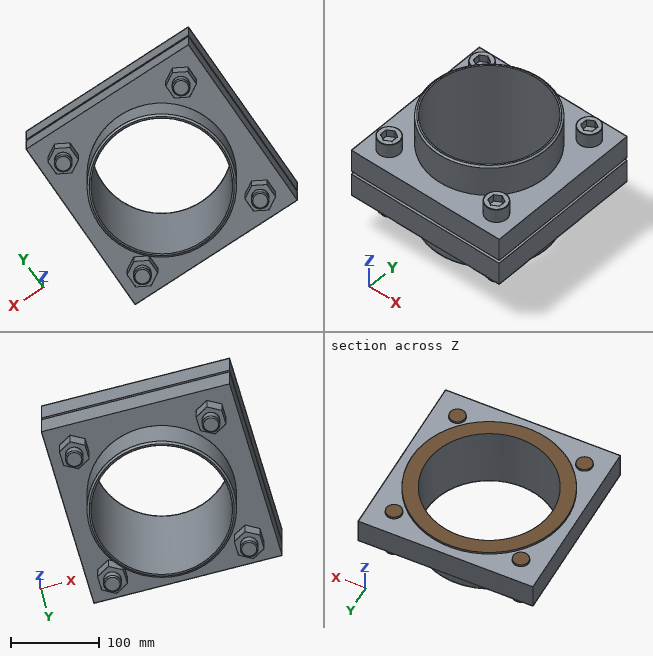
import cadquery as cq
import math

total_height = 160.0
pipe_outer_diameter = 168.3
pipe_bore_diameter = 159.3
pipe_bevel_height = 2.0
pipe_bevel_width = 2.5

flange_width = 220.0
flange_gap = 4.5
flange_thickness = 33.0
flange_outer_z = flange_gap / 2 + flange_thickness
spigot_diameter = 197.0

bolt_circle_diameter = 226.0
bolt_offset = bolt_circle_diameter / 2 / math.sqrt(2)
bolt_diameter = 20.0
bolt_length = 100.0
bolt_tip_chamfer = 1.5
head_diameter = 30.0
head_height = 20.0
head_edge_chamfer = 0.5
socket_across_flats = 17.0
socket_depth = 10.0
nut_across_flats = 30.0
nut_height = 18.0


def cylinder(diameter, bottom_z, top_z):
    """Upright cylinder on the Z axis."""
    return cq.Workplane("XY").workplane(offset=bottom_z).circle(diameter / 2).extrude(top_z - bottom_z)


def hexagon(across_flats, bottom_z, top_z):
    """Upright hexagonal prism on the Z axis with its flats facing -X and +X."""
    return (
        cq.Workplane("XY")
        .workplane(offset=bottom_z)
        .polygon(6, across_flats, circumscribed=True)
        .extrude(top_z - bottom_z)
    )


def make_pipe():
    """Pipe over the full height, bevelled on the outside of both ends."""
    pipe = cylinder(pipe_outer_diameter, -total_height / 2, total_height / 2)
    return pipe.faces("<Z or >Z").chamfer(pipe_bevel_height, pipe_bevel_width)


def make_flange(bottom_z):
    """Square flange plate standing on bottom_z."""
    return (
        cq.Workplane("XY")
        .workplane(offset=bottom_z)
        .rect(flange_width, flange_width)
        .extrude(flange_thickness)
    )


def make_bolt():
    """Socket head bolt with its nut, on the Z axis."""
    head_top_z = flange_outer_z + head_height
    shank = cylinder(bolt_diameter, flange_outer_z - bolt_length, flange_outer_z)
    shank = shank.faces("<Z").chamfer(bolt_tip_chamfer)
    head = cylinder(head_diameter, flange_outer_z, head_top_z).faces(">Z").chamfer(head_edge_chamfer)
    head = head.cut(hexagon(socket_across_flats, head_top_z - socket_depth, head_top_z))
    nut = hexagon(nut_across_flats, -flange_outer_z - nut_height, -flange_outer_z)
    return shank.union(head).union(nut)


def make_joint():
    """Both flanges on the pipe, bored through and bolted together."""
    joint = make_pipe()
    joint = joint.union(make_flange(flange_gap / 2))
    joint = joint.union(make_flange(-flange_outer_z))
    joint = joint.union(cylinder(spigot_diameter, -flange_gap / 2, flange_gap / 2))
    joint = joint.cut(cylinder(pipe_bore_diameter, -total_height / 2, total_height / 2))
    bolt = make_bolt()
    for x_side in (-1, 1):
        for y_side in (-1, 1):
            joint = joint.union(bolt.translate((x_side * bolt_offset, y_side * bolt_offset, 0)))
    return joint


result = make_joint()